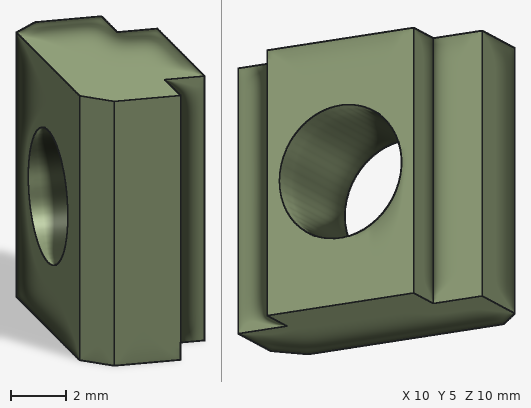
import cadquery as cq

width = 10.0
depth = 5.0
height = 10.0

neck_width = 6.0
neck_depth = 1.5
chamfer_size = 1.0
hole_diameter = 5.0

front_y = -depth / 2
back_y = depth / 2
shoulder_y = back_y - neck_depth


def make_body():
    """T-shaped section extruded along Z and centred on the origin."""
    flange = cq.Workplane("XY").box(width, depth - neck_depth, height)
    flange = flange.faces("<Y").edges("|Z").chamfer(chamfer_size)
    flange = flange.translate((0, (front_y + shoulder_y) / 2, 0))
    neck = cq.Workplane("XY").box(neck_width, depth, height)
    return flange.union(neck)


def make_hole():
    """Round through hole along Y."""
    bore = cq.Workplane("XZ", origin=(0, back_y, 0)).circle(hole_diameter / 2)
    return bore.extrude(depth)


result = make_body().cut(make_hole())